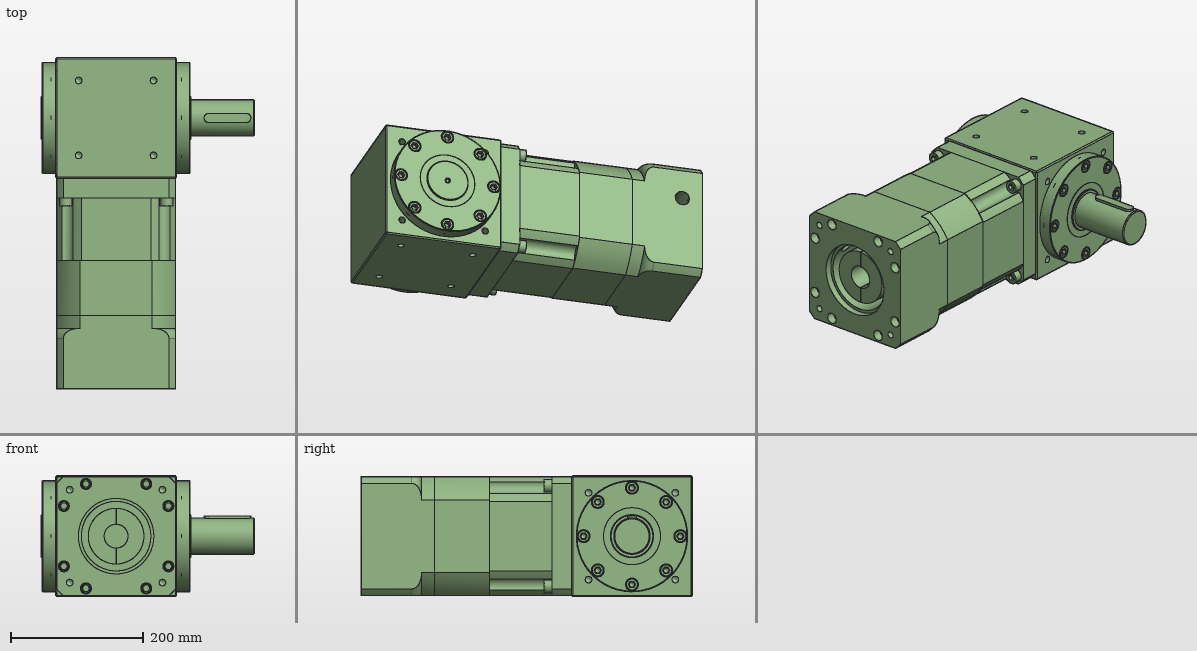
import cadquery as cq
import math


OVERALL_LENGTH = 501.0

CUBE_SIDE = 183.0
CUBE_HALF = CUBE_SIDE / 2
CUBE_CHAMFER = 2.0
COVER_RADIUS = 84.0
COVER_FACE_X = 111.5
COVER_CHAMFER = 1.0
SEAL_RADIUS = 43.0
SEAL_RECESS = 0.5
COVER_SCREW_CIRCLE = 73.0
COVER_SCREW_COUNT = 8

JOURNAL_RADIUS = 32.5
JOURNAL_FACE_X = 113.0
JOURNAL_CHAMFER = 1.0
SHAFT_RADIUS = 27.5
SHAFT_END_X = 209.0
SHAFT_CHAMFER = 1.5
CENTER_HOLE_RADIUS = 2.5
CENTER_HOLE_DEPTH = 7.5
CENTER_MOUTH_RADIUS = 4.0
CENTER_MOUTH_DEPTH = 1.0
KEY_LENGTH = 70.5
KEY_WIDTH = 14.0
KEY_CENTER_X = 168.5
KEY_TOP_Z = 30.5

TAPPED_RADIUS = 5.0
TAPPED_DEPTH = 17.5
TOP_HOLE_OFFSET = 56.5
SIDE_HOLE_OFFSET = 65.5
DRILL_TIP_ANGLE = 118

FLANGE_END = 120.5
RING_END = 215.5
CARRIER_END = 298.5
SHOULDER_START = 318.0
INPUT_FACE = OVERALL_LENGTH - CUBE_HALF

TRAIN_SIDE = 180.0
FLANGE_CORNER_RADIUS = 120.0
NECK_CORNER_RADIUS = 105.0
RING_CORNER_RADIUS = 104.0
SHOULDER_ROUND = FLANGE_CORNER_RADIUS - NECK_CORNER_RADIUS

BOLT_OFFSET = 76.0
BOLT_HEAD_RADIUS = 9.5
BOLT_HEAD_HEIGHT = 12.0
BOLT_GROOVE_RADIUS = 12.5

COVER_BORE_RADIUS = 9.75
COVER_HEAD_RADIUS = 8.25
COVER_BORE_DEPTH = 13.0
ADAPTER_BORE_RADIUS = 8.25
ADAPTER_HEAD_RADIUS = 6.75
ADAPTER_BORE_DEPTH = 20.0
ADAPTER_HEAD_SINK = 13.0
SOCKET_WIDTH = 11.0
SOCKET_DEPTH = 6.0
SOCKET_TIP_RADIUS = 4.0

PILOT_RADIUS = 57.0
PILOT_DEPTH = 11.0
CAVITY_RADIUS = 52.5
ADAPTER_SCREW_CIRCLE = 91.0
ADAPTER_SCREW_ANGLES = (30, 60)
MOTOR_HOLE_OFFSET = 70.0
ACCESS_HOLE_RADIUS = 11.0
ACCESS_HOLE_STATION = 378.0
ACCESS_HOLE_Z = 34.0

HUB_RADIUS = 42.0
HUB_SINK = 13.0
HUB_BORE_RADIUS = 18.0
HUB_BORE_DEPTH = 75.0
HUB_SLIT_WIDTH = 1.0
HUB_SLIT_DEPTH = 60.0


def input_plane(station):
    """Workplane across the input axis; its normal points to -Y."""
    return cq.Workplane("XZ", origin=(0, -station, 0))


def output_plane(x):
    """Workplane across the output shaft; its normal points to +X."""
    return cq.Workplane("YZ", origin=(x, 0, 0))


def square_pattern(offset):
    return [(sx * offset, sy * offset) for sx in (-1, 1) for sy in (-1, 1)]


def circle_pattern(radius, angles):
    return [(radius * math.cos(math.radians(a)), radius * math.sin(math.radians(a))) for a in angles]


def rounded_square(start, end, corner_radius):
    """Length of the input train: a square bar with its corners turned to a radius."""
    length = end - start
    square = input_plane(start).rect(TRAIN_SIDE, TRAIN_SIDE).extrude(length)
    return square.intersect(input_plane(start).circle(corner_radius).extrude(length))


def drilled_holes(plane, points, radius, depth):
    """Cutters for blind holes with a drill-point bottom, going in against the plane's normal."""
    tip_height = radius / math.tan(math.radians(DRILL_TIP_ANGLE / 2))
    profile = [(0, 0), (radius, 0), (radius, -depth), (0, -depth - tip_height)]
    cutter = cq.Workplane("XZ").polyline(profile).close().revolve(360, (0, 0), (0, 1)).val()
    return plane.pushPoints(points).eachpoint(lambda place: cutter.moved(place), useLocalCoordinates=True)


def socket_recesses(plane, points):
    """Cutters for flat-bottomed hexagon sockets."""
    return plane.pushPoints(points).polygon(6, SOCKET_WIDTH).extrude(-SOCKET_DEPTH)


def sunk_screws(body, face, points, bore_radius, bore_depth, head_radius, head_sink):
    """Bore a pocket round each screw head and cut the head's socket."""
    body = body.cut(face.pushPoints(points).circle(bore_radius).extrude(-bore_depth))
    head_face = face.workplane(offset=-head_sink)
    heads = head_face.pushPoints(points).circle(head_radius).extrude(head_sink - bore_depth)
    return body.union(heads).cut(socket_recesses(head_face, points))


def make_cover():
    """Round cover on the +X face, with its seal recess and a ring of screws in drill-point sockets."""
    face = output_plane(COVER_FACE_X)
    cover = output_plane(CUBE_HALF).circle(COVER_RADIUS).extrude(COVER_FACE_X - CUBE_HALF)
    cover = cover.faces(">X").chamfer(COVER_CHAMFER)
    cover = cover.cut(face.circle(SEAL_RADIUS).extrude(-SEAL_RECESS))
    angles = [i * 360 / COVER_SCREW_COUNT for i in range(COVER_SCREW_COUNT)]
    points = circle_pattern(COVER_SCREW_CIRCLE, angles)
    cover = sunk_screws(cover, face, points, COVER_BORE_RADIUS, COVER_BORE_DEPTH, COVER_HEAD_RADIUS, 0)
    return cover.cut(drilled_holes(face, points, SOCKET_TIP_RADIUS, SOCKET_DEPTH))


def make_shaft():
    """Output shaft with a journal showing at both covers, and a round-ended key."""
    journal = output_plane(-JOURNAL_FACE_X).circle(JOURNAL_RADIUS).extrude(2 * JOURNAL_FACE_X)
    journal = journal.faces("<X or >X").chamfer(JOURNAL_CHAMFER)
    stub = output_plane(0).circle(SHAFT_RADIUS).extrude(SHAFT_END_X).faces(">X").chamfer(SHAFT_CHAMFER)
    key = cq.Workplane("XY").center(KEY_CENTER_X, 0).slot2D(KEY_LENGTH, KEY_WIDTH).extrude(KEY_TOP_Z)
    left_end = cq.Workplane("YZ", origin=(-JOURNAL_FACE_X, 0, 0)).transformed(rotate=(0, 180, 0))
    center_hole = drilled_holes(left_end, [(0, 0)], CENTER_HOLE_RADIUS, CENTER_HOLE_DEPTH)
    center_mouth = drilled_holes(left_end, [(0, 0)], CENTER_MOUTH_RADIUS, CENTER_MOUTH_DEPTH)
    return journal.union(stub).union(key).cut(center_hole).cut(center_mouth)


def make_flange():
    """Input flange on the -Y face, with a bolt head in each corner."""
    points = square_pattern(BOLT_OFFSET)
    head_face = input_plane(FLANGE_END + BOLT_HEAD_HEIGHT)
    heads = head_face.pushPoints(points).circle(BOLT_HEAD_RADIUS).extrude(-BOLT_HEAD_HEIGHT)
    heads = heads.cut(socket_recesses(head_face, points))
    return rounded_square(CUBE_HALF, FLANGE_END, FLANGE_CORNER_RADIUS).union(heads)


def make_gearbox():
    """Bevel gearbox: cubic housing with covers, output shaft and input flange."""
    cube = cq.Workplane("XY").box(CUBE_SIDE, CUBE_SIDE, CUBE_SIDE).edges().chamfer(CUBE_CHAMFER)
    top = cq.Workplane("XY", origin=(0, 0, CUBE_HALF))
    top_holes = drilled_holes(top, square_pattern(TOP_HOLE_OFFSET), TAPPED_RADIUS, TAPPED_DEPTH)
    side = output_plane(CUBE_HALF)
    side_holes = drilled_holes(side, square_pattern(SIDE_HOLE_OFFSET), TAPPED_RADIUS, TAPPED_DEPTH)
    cover = make_cover()
    body = cube.union(cover).union(cover.mirror("YZ"))
    body = body.cut(top_holes).cut(top_holes.mirror("XY"))
    body = body.cut(side_holes).cut(side_holes.mirror("YZ"))
    return body.union(make_shaft()).union(make_flange())


def make_ring_gear():
    """Planetary ring gear case, grooved at the corners to clear the flange bolts."""
    ring = rounded_square(FLANGE_END, RING_END, RING_CORNER_RADIUS)
    grooves = input_plane(FLANGE_END).pushPoints(square_pattern(BOLT_OFFSET))
    return ring.cut(grooves.circle(BOLT_GROOVE_RADIUS).extrude(RING_END - FLANGE_END))


def make_carrier_case():
    return rounded_square(RING_END, CARRIER_END, NECK_CORNER_RADIUS)


def make_adapter():
    """Motor adapter: a neck that steps out to a block with a rounded shoulder."""
    neck = rounded_square(CARRIER_END, SHOULDER_START, NECK_CORNER_RADIUS)
    turned = input_plane(SHOULDER_START).circle(FLANGE_CORNER_RADIUS).extrude(INPUT_FACE - SHOULDER_START)
    turned = turned.faces(">Y").edges().fillet(SHOULDER_ROUND)
    square = input_plane(SHOULDER_START).rect(TRAIN_SIDE, TRAIN_SIDE).extrude(INPUT_FACE - SHOULDER_START)
    adapter = neck.union(turned.intersect(square))

    face = input_plane(INPUT_FACE)
    adapter = adapter.cut(face.circle(PILOT_RADIUS).extrude(-PILOT_DEPTH))
    adapter = adapter.cut(face.circle(CAVITY_RADIUS).extrude(CARRIER_END - INPUT_FACE))

    angles = [quarter + a for quarter in range(0, 360, 90) for a in ADAPTER_SCREW_ANGLES]
    adapter = sunk_screws(
        adapter, face, circle_pattern(ADAPTER_SCREW_CIRCLE, angles),
        ADAPTER_BORE_RADIUS, ADAPTER_BORE_DEPTH, ADAPTER_HEAD_RADIUS, ADAPTER_HEAD_SINK,
    )
    motor_holes = drilled_holes(face, square_pattern(MOTOR_HOLE_OFFSET), TAPPED_RADIUS, TAPPED_DEPTH)
    access_hole = (
        cq.Workplane("YZ").center(-ACCESS_HOLE_STATION, ACCESS_HOLE_Z)
        .circle(ACCESS_HOLE_RADIUS).extrude(-TRAIN_SIDE / 2)
    )
    return adapter.cut(motor_holes).cut(access_hole)


def make_clamp_hub():
    """Clamp hub in the adapter's cavity, slit across its bore at the open end."""
    hub_face = INPUT_FACE - HUB_SINK
    hub = input_plane(CARRIER_END).circle(HUB_RADIUS).extrude(hub_face - CARRIER_END)
    face = input_plane(hub_face)
    hub = hub.cut(face.circle(HUB_BORE_RADIUS).extrude(-HUB_BORE_DEPTH))
    return hub.cut(face.rect(HUB_SLIT_WIDTH, 2 * HUB_RADIUS).extrude(-HUB_SLIT_DEPTH))


gearbox = make_gearbox()
ring_gear = make_ring_gear()
carrier_case = make_carrier_case()
adapter = make_adapter()
clamp_hub = make_clamp_hub()

result = cq.Compound.makeCompound([
    gearbox.val(),
    ring_gear.val(),
    carrier_case.val(),
    adapter.val(),
    clamp_hub.val(),
])